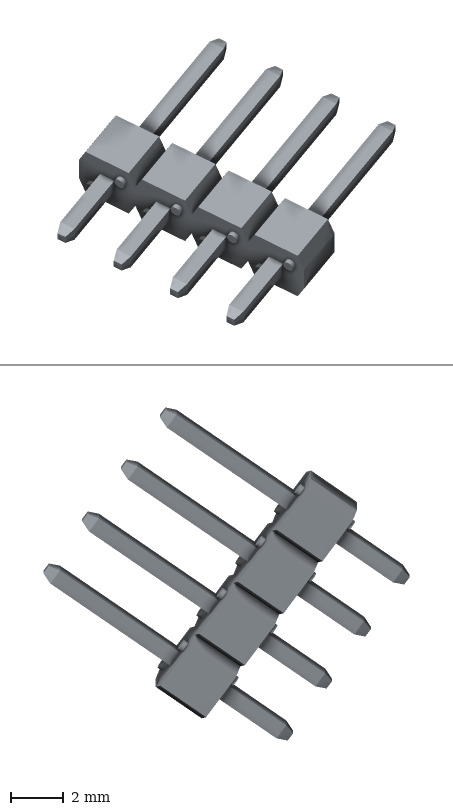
import cadquery as cq

pin_count = 4
row_length = 10.16
pitch = row_length / pin_count

housing_height = 2.41
housing_depth = 2.15
web_height = 1.11
notch_half_width = 0.3

peg_diameter = 0.42
peg_length = 0.2
peg_offset_x = 0.66
peg_offset_z = 0.56

pin_length = 11.43
pin_width = 0.64
tip_width = 0.35
tip_length = 0.42
front_reach = 3.25

housing_front = -housing_depth / 2
pin_front = housing_front - front_reach
pin_back = pin_front + pin_length
pin_centers = [((index - (pin_count - 1) / 2) * pitch, 0) for index in range(pin_count)]


def section_plane(y):
    """Workplane across the pins at the given Y, with axes X and Z; negative extrusions run toward +Y."""
    return cq.Workplane(cq.Plane(origin=(0, y, 0), xDir=(1, 0, 0), normal=(0, -1, 0)))


def make_cell(center_x):
    """One eight-sided prism of the housing; the bevels of neighbours form the notches."""
    half_top = pitch / 2 - notch_half_width
    upper_right = [
        (center_x + pitch / 2, web_height / 2),
        (center_x + half_top, housing_height / 2),
    ]
    upper_left = [(2 * center_x - x, z) for x, z in reversed(upper_right)]
    lower = [(x, -z) for x, z in reversed(upper_right + upper_left)]
    outline = section_plane(housing_front).polyline(upper_right + upper_left + lower).close()
    return outline.extrude(-housing_depth)


def make_pegs():
    """Two pegs diagonally across each pin, running through the housing and out of both faces."""
    places = []
    for x, z in pin_centers:
        places.append((x - peg_offset_x, z - peg_offset_z))
        places.append((x + peg_offset_x, z + peg_offset_z))
    overall_length = housing_depth + 2 * peg_length
    circles = section_plane(housing_front - peg_length).pushPoints(places).circle(peg_diameter / 2)
    return circles.extrude(-overall_length)


def make_housing():
    body = make_cell(pin_centers[0][0])
    for x, _ in pin_centers[1:]:
        body = body.union(make_cell(x))
    body = body.union(make_pegs())
    hole_outlines = section_plane(housing_front).pushPoints(pin_centers).rect(pin_width, pin_width)
    return body.cut(hole_outlines.extrude(-housing_depth))


def make_tip(base_y, end_y):
    """Square taper from the full pin width at base_y to the blunt end at end_y."""
    return (
        section_plane(base_y)
        .rect(pin_width, pin_width)
        .workplane(offset=base_y - end_y)
        .rect(tip_width, tip_width)
        .loft(ruled=True)
    )


def make_pin(center):
    shank_front = pin_front + tip_length
    shank_back = pin_back - tip_length
    shank = section_plane(shank_front).rect(pin_width, pin_width).extrude(shank_front - shank_back)
    pin = shank.union(make_tip(shank_front, pin_front)).union(make_tip(shank_back, pin_back))
    x, z = center
    return pin.translate((x, 0, z))


housing = make_housing()
pins = [make_pin(center) for center in pin_centers]

result = cq.Compound.makeCompound([housing.val(), *[pin.val() for pin in pins]])